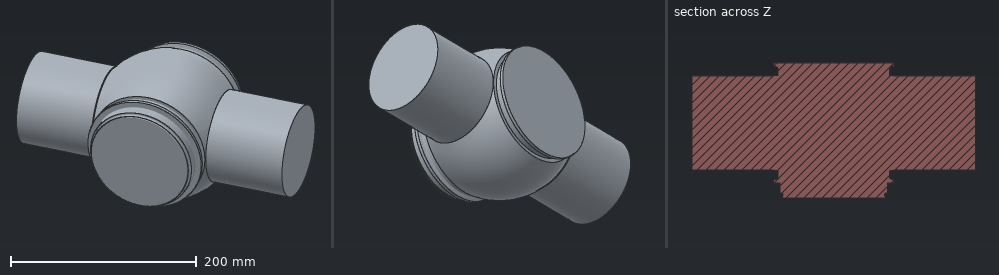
import cadquery as cq
import math

run_length = 305.31
run_diameter = 101.6

sphere_diameter = 165.1
body_back = 51.1
body_front = 51.6

collar_diameter = 102.0
collar_end = 65.9

blend_radius = 0.8

neck_diameter = 120.65
flange_diameter = 130.18
flange_face = 64.8
flange_rim_thickness = 3.7
flange_taper_angle = 20

total_width = 145.8
plug_diameter = 116.1
plug_length = 10.8
tip_diameter = 111.43
tip_edge_radius = 0.7
tip_end = total_width - flange_face
tip_start = flange_face + plug_length

groove_diameter = 109.98
groove_blend_radius = 1.6
groove_floor_width = 1.0
groove_ramp_length = 0.9


def rod_along_x(diameter, start, end):
    return cq.Workplane("YZ", origin=(start, 0, 0)).circle(diameter / 2).extrude(end - start)


def revolve_about_y(profile):
    """Revolve a closed profile, drawn with X as radius, about the Y axis."""
    return profile.close().revolve(360, (0, 0, 0), (0, 1, 0))


def make_body():
    """Sphere cut off by two planes square to Y."""
    radius = sphere_diameter / 2
    back_radius = math.sqrt(radius**2 - body_back**2)
    front_radius = math.sqrt(radius**2 - body_front**2)
    profile = (
        cq.Workplane("XY")
        .moveTo(0, body_back)
        .lineTo(back_radius, body_back)
        .threePointArc((radius, 0), (front_radius, -body_front))
        .lineTo(0, -body_front)
    )
    return revolve_about_y(profile)


def make_flanged_end():
    """Neck and tapered clamp flange on the +Y end, blended where the taper meets the neck."""
    neck_radius = neck_diameter / 2
    flange_radius = flange_diameter / 2
    rim_back = flange_face - flange_rim_thickness
    slope = math.radians(flange_taper_angle)
    neck_end = rim_back - (flange_radius - neck_radius) * math.tan(slope)
    setback = blend_radius * math.tan((math.pi / 2 - slope) / 2)
    half_corner = (math.pi / 2 + slope) / 2
    sagitta = blend_radius / math.sin(half_corner) - blend_radius
    arc_start = (neck_radius, neck_end - setback)
    arc_middle = (neck_radius + sagitta * math.sin(half_corner), neck_end - sagitta * math.cos(half_corner))
    arc_end = (neck_radius + setback * math.cos(slope), neck_end + setback * math.sin(slope))
    profile = (
        cq.Workplane("XY")
        .lineTo(neck_radius, 0)
        .lineTo(*arc_start)
        .threePointArc(arc_middle, arc_end)
        .lineTo(flange_radius, rim_back)
        .lineTo(flange_radius, flange_face)
        .lineTo(0, flange_face)
    )
    return revolve_about_y(profile)


def make_blend_ring(diameter, face):
    """Concave blend around a rod of the given diameter where it leaves a flat at y = -face."""
    radius = diameter / 2
    profile = (
        cq.Workplane("XY")
        .moveTo(0, -face)
        .lineTo(radius + blend_radius, -face)
        .radiusArc((radius, -face - blend_radius), -blend_radius)
        .lineTo(0, -face - blend_radius)
    )
    return revolve_about_y(profile)


def make_plug():
    """Stepped plug with a groove behind the lip of its tip and a rounded front edge."""
    plug_radius = plug_diameter / 2
    tip_radius = tip_diameter / 2
    groove_radius = groove_diameter / 2
    floor_start = tip_start + groove_blend_radius
    floor_end = floor_start + groove_floor_width
    profile = (
        cq.Workplane("XY")
        .moveTo(0, -flange_face)
        .lineTo(plug_radius, -flange_face)
        .lineTo(plug_radius, -tip_start)
        .lineTo(groove_radius + groove_blend_radius, -tip_start)
        .radiusArc((groove_radius, -floor_start), -groove_blend_radius)
        .lineTo(groove_radius, -floor_end)
        .lineTo(tip_radius, -floor_end - groove_ramp_length)
        .lineTo(tip_radius, -tip_end + tip_edge_radius)
        .radiusArc((tip_radius - tip_edge_radius, -tip_end), tip_edge_radius)
        .lineTo(0, -tip_end)
    )
    return revolve_about_y(profile)


run_pipe = rod_along_x(run_diameter, -run_length / 2, run_length / 2)
collar = rod_along_x(collar_diameter, -collar_end, 0)
flanged_end = make_flanged_end()

result = make_body().union(run_pipe).union(collar)
result = result.union(flanged_end).union(flanged_end.mirror("XZ"))
result = result.union(make_plug())
result = result.union(make_blend_ring(neck_diameter, body_front))
result = result.union(make_blend_ring(plug_diameter, flange_face))